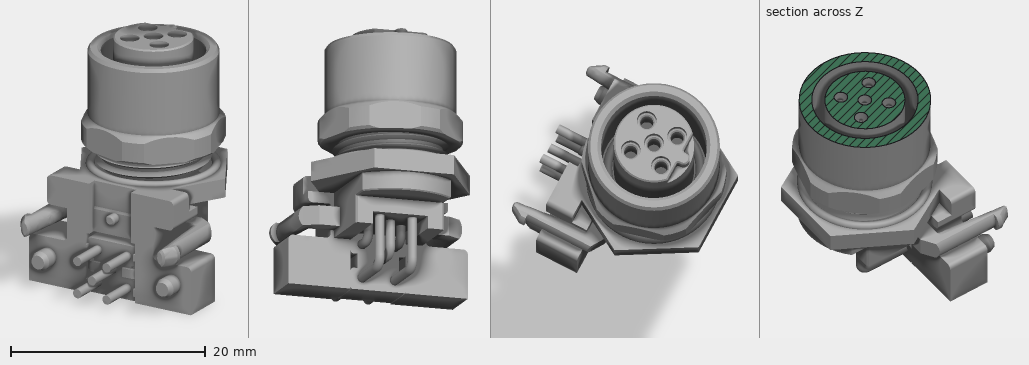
import cadquery as cq
import math


THREAD_PITCH = 1.0

FLANGE_BOTTOM = 9.98
FLANGE_TOP = 12.05
NUT_BOTTOM = 14.55
NUT_CONE_BOTTOM = 16.93
NUT_CONE_TOP = 17.63
SLEEVE_TOP = 24.85
CORE_TOP = 26
BORE_FLOOR = 15.6

SLEEVE_RADIUS = 6.79
SLEEVE_CHAMFER_WIDTH = 0.25
SLEEVE_CHAMFER_HEIGHT = 0.36
NUT_CORNER_RADIUS = 7.45
NUT_FLAT_DISTANCE = 6.97
NUT_TURN = 45
NUT_LOWER_CHAMFER = 0.29
BORE_RADIUS = 5.43
MOUTH_CHAMFER = 0.36

THREAD_ROOT_RADIUS = 5.4
THREAD_CREST_RADIUS = 6.0
THREAD_TURNS = 3
THREAD_START = 11.93
RING_SECTION_RADIUS = 0.47
OUTER_RING_RADIUS = 6.5
INNER_RING_RADIUS = 4.75
INNER_RING_LIFT = 0.25

CORE_RADIUS = 4.13
CORE_CHAMFER = 0.15
CORE_FLAT_Y = 3.05
CORE_FLAT_DEPTH = 1.3
KEY_HALF_WIDTH = 0.62
KEY_TIP_Y = 4.08
KEY_FILLET = 0.23
CONTACT_OFFSET = 1.77
CONTACT_POSITIONS = [(0, 0)] + [
    (x, y) for x in (-CONTACT_OFFSET, CONTACT_OFFSET) for y in (-CONTACT_OFFSET, CONTACT_OFFSET)
]
SOCKET_RADIUS = 1.01
SOCKET_DEPTH = 0.65
SOCKET_SEAT_RADIUS = 0.83
SOCKET_HOLE_RADIUS = 0.68
SOCKET_HOLE_DEPTH = 3.12

FLANGE_FLAT_DISTANCE = 7.5
FLANGE_FRONT_Y = -5.49
BODY_HALF_WIDTH = 4.8
BODY_RADIUS = 7.02
BODY_ROUND_BOTTOM = 8.05
BODY_BOTTOM = 5.23
BODY_BACK_Y = 3.12
BODY_CHAMFER = 0.2
BODY_RIM_CHAMFER = 0.13

HOUSING_BACK_Y = -3.8
HOUSING_FRONT_Y = -8.53
HOUSING_FILLET = 0.5
FOOT_HALF_WIDTH = 9.75
FOOT_TOP = 5.2
NECK_HALF_WIDTH = 5.17
ARM_HALF_WIDTH = 7.62
ARM_BOTTOM = 8.81

RECESS_HALF_WIDTH = 2.52
RECESS_UPPER_Y = -7.5
RECESS_LOWER_Y = -7.62
RECESS_STEP_TOP = 9.25
RECESS_STEP_BOTTOM = 9.0
STUB_RADIUS = 0.55
STUB_Z = 8.48
STUB_TIP_Y = -8.63
STUB_CHAMFER = 0.15

SLOT_HALF_WIDTH = 3.0
SLOT_TOP = 6.53
HOLDER_TOP = 5.95
HOLDER_FRONT_Y = -8.05
HOLDER_CHAMFER = 0.15
TOOTH_WIDTH = 0.2
TOOTH_SPANS = ((0.68, 1.5), (4.55, 5.3))
NOTCH_INNER_X = 2.24
NOTCH_HALF_HEIGHT = 0.75
NOTCH_FILLET = 0.35
LATCH_INNER_X = 1.35
LATCH_HALF_HEIGHT = 0.5
LATCH_FRONT_Y = -8.4

PIN_RADIUS = 0.5
PIN_BEND_RADIUS = 0.95
PIN_ROW_Z = 3.02
PIN_TIP_Y = -12.12
PIN_ROOT_Z = 7.02

PEG_X = 7.5
PEG_RADIUS = 1.01
PEG_TIP_Y = -10.53
PEG_CHAMFER_LENGTH = 0.6
PEG_CHAMFER_WIDTH = 0.25

SNAP_Z = 7.05
SNAP_HALF_HEIGHT = 1.01
SNAP_EDGE_X = 8.5
SNAP_OUTER_X = 8.9
SNAP_INNER_BULGE = 0.94
SNAP_ROOT_X = 7.62
SNAP_TIP_X = 8.58
SNAP_WEB_BACK_Y = -1.95
SNAP_WEB_FRONT_Y = -3.9
SNAP_WEB_CORNER_X = 7.05
SNAP_ROD_START_Y = -2.85
SNAP_CORNER_DROP = 0.23
SNAP_ROOT_FILLET = 0.4
BARB_BACK_Y = -10.17
BARB_CORNER_Y = -10.69
BARB_TIP_Y = -12.05
BARB_OUTER_X = 9.46
BARB_TIP_OUTER_X = 8.6
BARB_BULGE = 0.52
BARB_TIP_CHAMFER = 0.18


def block(x_range, y_range, z_range):
    """Axis-aligned box from its limits."""
    sizes = [high - low for low, high in (x_range, y_range, z_range)]
    corner = (x_range[0], y_range[0], z_range[0])
    return cq.Workplane("XY").box(*sizes, centered=False).translate(corner)


def both_sides(shape):
    """The shape together with its mirror image across the YZ plane."""
    return shape.union(shape.mirror("YZ"))


def disc_along_y(x, z, radius, y_start, y_end):
    """Cylinder running toward -Y from y_start to y_end."""
    return cq.Workplane("XZ", origin=(x, y_start, z)).circle(radius).extrude(y_start - y_end)


def hexagon(flat_distance, z_bottom, z_top):
    """Hexagonal prism with two corners on the X axis."""
    corner_diameter = 2 * flat_distance / math.cos(math.pi / 6)
    base = cq.Workplane("XY", origin=(0, 0, z_bottom))
    return base.polygon(6, corner_diameter).extrude(z_top - z_bottom)


def ring(radius, z):
    """Sealing ring of round section about the connector axis."""
    section = cq.Workplane("XZ").center(radius, z).circle(RING_SECTION_RADIUS)
    return section.revolve(360, (-radius, 0, 0), (-radius, 1, 0))


def sleeve_nut():
    """Round sleeve on a hexagon with turned corners, bored from the top."""
    envelope = (
        cq.Workplane("XZ")
        .moveTo(0, NUT_BOTTOM)
        .lineTo(NUT_CORNER_RADIUS - NUT_LOWER_CHAMFER, NUT_BOTTOM)
        .lineTo(NUT_CORNER_RADIUS, NUT_BOTTOM + NUT_LOWER_CHAMFER)
        .lineTo(NUT_CORNER_RADIUS, NUT_CONE_BOTTOM)
        .lineTo(SLEEVE_RADIUS, NUT_CONE_TOP)
        .lineTo(0, NUT_CONE_TOP)
        .close()
        .revolve(360, (0, 0, 0), (0, 1, 0))
    )
    prism = hexagon(NUT_FLAT_DISTANCE, NUT_BOTTOM, NUT_CONE_TOP).rotate((0, 0, 0), (0, 0, 1), NUT_TURN)
    sleeve = (
        cq.Workplane("XY", origin=(0, 0, NUT_BOTTOM + NUT_LOWER_CHAMFER))
        .circle(SLEEVE_RADIUS)
        .extrude(SLEEVE_TOP - NUT_BOTTOM - NUT_LOWER_CHAMFER)
        .faces(">Z")
        .chamfer(SLEEVE_CHAMFER_HEIGHT, SLEEVE_CHAMFER_WIDTH)
    )
    bore = (
        cq.Workplane("XZ")
        .moveTo(0, BORE_FLOOR)
        .lineTo(BORE_RADIUS, BORE_FLOOR)
        .lineTo(BORE_RADIUS, SLEEVE_TOP - MOUTH_CHAMFER)
        .lineTo(BORE_RADIUS + MOUTH_CHAMFER, SLEEVE_TOP)
        .lineTo(0, SLEEVE_TOP)
        .close()
        .revolve(360, (0, 0, 0), (0, 1, 0))
    )
    return prism.intersect(envelope).union(sleeve).cut(bore)


def thread():
    """Threaded neck between flange and nut; both thread ends are buried in them."""
    neck = cq.Workplane("XY", origin=(0, 0, FLANGE_BOTTOM)).circle(THREAD_ROOT_RADIUS)
    neck = neck.extrude(NUT_BOTTOM + NUT_LOWER_CHAMFER - FLANGE_BOTTOM)
    sink = 0.08
    depth = THREAD_CREST_RADIUS - THREAD_ROOT_RADIUS + sink
    half_width = depth * math.tan(math.pi / 6)
    helix = cq.Wire.makeHelix(THREAD_PITCH, THREAD_PITCH * THREAD_TURNS, THREAD_ROOT_RADIUS)
    ridge = (
        cq.Workplane("XZ")
        .moveTo(THREAD_ROOT_RADIUS - sink, -half_width)
        .lineTo(THREAD_CREST_RADIUS, 0)
        .lineTo(THREAD_ROOT_RADIUS - sink, half_width)
        .close()
        .sweep(cq.Workplane(helix), isFrenet=True)
        .translate((0, 0, THREAD_START))
    )
    return neck.union(ridge)


def contact_core():
    """Round core with a flat at its top, a coding key on the flat, and five sockets."""
    flat_bottom = CORE_TOP - CORE_FLAT_DEPTH
    reach = 2 * CORE_RADIUS
    key_round_y = KEY_TIP_Y - KEY_HALF_WIDTH
    outline = (
        cq.Workplane("XY", origin=(0, 0, flat_bottom))
        .moveTo(-reach, -reach)
        .lineTo(reach, -reach)
        .lineTo(reach, CORE_FLAT_Y)
        .lineTo(KEY_HALF_WIDTH, CORE_FLAT_Y)
        .lineTo(KEY_HALF_WIDTH, key_round_y)
        .threePointArc((0, KEY_TIP_Y), (-KEY_HALF_WIDTH, key_round_y))
        .lineTo(-KEY_HALF_WIDTH, CORE_FLAT_Y)
        .lineTo(-reach, CORE_FLAT_Y)
        .close()
        .extrude(CORE_FLAT_DEPTH)
    )
    key_roots = cq.selectors.BoxSelector(
        (-KEY_HALF_WIDTH - 0.03, CORE_FLAT_Y - 0.03, flat_bottom),
        (KEY_HALF_WIDTH + 0.03, CORE_FLAT_Y + 0.03, CORE_TOP),
    )
    outline = outline.edges(key_roots).fillet(KEY_FILLET)
    base = cq.Workplane("XY", origin=(0, 0, BORE_FLOOR)).circle(CORE_RADIUS)
    base = base.extrude(flat_bottom - BORE_FLOOR)
    crown = cq.Workplane("XY", origin=(0, 0, flat_bottom)).circle(CORE_RADIUS).extrude(CORE_FLAT_DEPTH)
    crown = crown.intersect(outline).faces(">Z").chamfer(CORE_CHAMFER)
    core = base.union(crown)

    seat = CORE_TOP - SOCKET_DEPTH
    cone_bottom = seat - (SOCKET_SEAT_RADIUS - SOCKET_HOLE_RADIUS)
    socket = (
        cq.Workplane("XZ")
        .moveTo(0, CORE_TOP)
        .lineTo(SOCKET_RADIUS, CORE_TOP)
        .lineTo(SOCKET_RADIUS, seat)
        .lineTo(SOCKET_SEAT_RADIUS, seat)
        .lineTo(SOCKET_HOLE_RADIUS, cone_bottom)
        .lineTo(SOCKET_HOLE_RADIUS, CORE_TOP - SOCKET_HOLE_DEPTH)
        .lineTo(0, CORE_TOP - SOCKET_HOLE_DEPTH)
        .close()
        .revolve(360, (0, 0, 0), (0, 1, 0))
    )
    for x, y in CONTACT_POSITIONS:
        core = core.cut(socket.translate((x, y, 0)))
    return core


def flange():
    """Hexagonal flange, cut straight at the front where the housing begins."""
    plate = hexagon(FLANGE_FLAT_DISTANCE, FLANGE_BOTTOM, FLANGE_TOP)
    keep = block(
        (-2 * FLANGE_FLAT_DISTANCE, 2 * FLANGE_FLAT_DISTANCE),
        (FLANGE_FRONT_Y, FLANGE_FLAT_DISTANCE),
        (FLANGE_BOTTOM, FLANGE_TOP),
    )
    return plate.intersect(keep)


def body():
    """Flat-sided body under the flange, stepped in at the back."""
    width = (-BODY_HALF_WIDTH, BODY_HALF_WIDTH)
    upper = (
        cq.Workplane("XY", origin=(0, 0, BODY_ROUND_BOTTOM))
        .circle(BODY_RADIUS)
        .extrude(FLANGE_BOTTOM - BODY_ROUND_BOTTOM)
        .intersect(block(width, (HOUSING_BACK_Y, BODY_RADIUS), (BODY_ROUND_BOTTOM, FLANGE_BOTTOM)))
    )
    upper = upper.faces("<Z").chamfer(BODY_RIM_CHAMFER)
    lower = block(width, (HOUSING_BACK_Y, BODY_BACK_Y), (BODY_BOTTOM, FLANGE_BOTTOM))
    return upper.union(lower.edges("|Z and >Y").chamfer(BODY_CHAMFER))


def housing():
    """H-shaped front housing: foot, neck and arms, with recess and pin slot."""
    depth = (HOUSING_FRONT_Y, HOUSING_BACK_Y)
    foot = block((-FOOT_HALF_WIDTH, FOOT_HALF_WIDTH), depth, (0, FOOT_TOP))
    foot = foot.edges("|Y and >Z").fillet(HOUSING_FILLET)
    neck = block((-NECK_HALF_WIDTH, NECK_HALF_WIDTH), depth, (0, FLANGE_TOP))
    arms = block((-ARM_HALF_WIDTH, ARM_HALF_WIDTH), depth, (ARM_BOTTOM, FLANGE_TOP))
    arms = arms.edges("|Y").fillet(HOUSING_FILLET)
    neck_roots = cq.selectors.BoxSelector(
        (-NECK_HALF_WIDTH - 0.03, HOUSING_FRONT_Y, FOOT_TOP - 0.03),
        (NECK_HALF_WIDTH + 0.03, HOUSING_BACK_Y, FOOT_TOP + 0.03),
    )
    shape = foot.union(neck).edges(neck_roots).fillet(HOUSING_FILLET).union(arms)
    flange_seat = block(
        (-ARM_HALF_WIDTH, ARM_HALF_WIDTH), (FLANGE_FRONT_Y, HOUSING_BACK_Y), (FLANGE_BOTTOM, FLANGE_TOP)
    )
    recess = (
        cq.Workplane("YZ", origin=(-RECESS_HALF_WIDTH, 0, 0))
        .moveTo(HOUSING_FRONT_Y, FLANGE_TOP)
        .lineTo(RECESS_UPPER_Y, FLANGE_TOP)
        .lineTo(RECESS_UPPER_Y, RECESS_STEP_TOP)
        .lineTo(RECESS_LOWER_Y, RECESS_STEP_BOTTOM)
        .lineTo(RECESS_LOWER_Y, SLOT_TOP)
        .lineTo(HOUSING_FRONT_Y, SLOT_TOP)
        .close()
        .extrude(2 * RECESS_HALF_WIDTH)
    )
    stub = disc_along_y(0, STUB_Z, STUB_RADIUS, RECESS_UPPER_Y, STUB_TIP_Y)
    stub = stub.faces("<Y").chamfer(STUB_CHAMFER)
    return shape.cut(flange_seat).cut(recess).union(stub)


def pin_slot():
    """Opening for the pins through housing and body."""
    return block((-SLOT_HALF_WIDTH, SLOT_HALF_WIDTH), (HOUSING_FRONT_Y, BODY_BACK_Y), (0, SLOT_TOP))


def pin_holder():
    """Block closing the slot, notched at both sides, with teeth and latches."""
    holder = block(
        (-SLOT_HALF_WIDTH, SLOT_HALF_WIDTH), (HOLDER_FRONT_Y, HOUSING_BACK_Y), (0, HOLDER_TOP)
    )
    holder = holder.edges("|Y").chamfer(HOLDER_CHAMFER)
    notch = block(
        (NOTCH_INNER_X, SLOT_HALF_WIDTH),
        (HOLDER_FRONT_Y, HOUSING_BACK_Y),
        (PIN_ROW_Z - NOTCH_HALF_HEIGHT, PIN_ROW_Z + NOTCH_HALF_HEIGHT),
    )
    holder = holder.cut(both_sides(notch))
    notch_mouths = cq.selectors.BoxSelector(
        (-SLOT_HALF_WIDTH - 0.03, HOLDER_FRONT_Y, PIN_ROW_Z - NOTCH_HALF_HEIGHT - 0.03),
        (SLOT_HALF_WIDTH + 0.03, HOUSING_BACK_Y, PIN_ROW_Z + NOTCH_HALF_HEIGHT + 0.03),
    )
    holder = holder.edges("|Y").edges(notch_mouths).edges("<X or >X").fillet(NOTCH_FILLET)

    tooth_x = (SLOT_HALF_WIDTH - TOOTH_WIDTH, SLOT_HALF_WIDTH)
    for span in TOOTH_SPANS:
        holder = holder.union(both_sides(block(tooth_x, (HOUSING_FRONT_Y, HOUSING_BACK_Y), span)))

    bend = SLOT_HALF_WIDTH - NOTCH_INNER_X
    bend_end_y = LATCH_FRONT_Y + bend
    latch = (
        cq.Workplane("XY", origin=(0, 0, PIN_ROW_Z - LATCH_HALF_HEIGHT))
        .moveTo(LATCH_INNER_X, LATCH_FRONT_Y)
        .lineTo(NOTCH_INNER_X, LATCH_FRONT_Y)
        .threePointArc(
            (NOTCH_INNER_X + bend * math.sqrt(0.5), bend_end_y - bend * math.sqrt(0.5)),
            (SLOT_HALF_WIDTH, bend_end_y),
        )
        .lineTo(SLOT_HALF_WIDTH, bend_end_y + bend)
        .lineTo(LATCH_INNER_X, bend_end_y + bend)
        .close()
        .extrude(2 * LATCH_HALF_HEIGHT)
    )
    return holder.union(both_sides(latch))


def contact_pin(x, y):
    """Round pin that drops from its contact, bends forward and runs to the board."""
    run_z = PIN_ROW_Z - y
    bend_z = run_z + PIN_BEND_RADIUS
    bend_y = y - PIN_BEND_RADIUS
    arc_inset = PIN_BEND_RADIUS * (1 - math.sqrt(0.5))
    path = (
        cq.Workplane("YZ", origin=(x, 0, 0))
        .moveTo(y, PIN_ROOT_Z)
        .lineTo(y, bend_z)
        .threePointArc((y - arc_inset, run_z + arc_inset), (bend_y, run_z))
        .lineTo(PIN_TIP_Y, run_z)
    )
    return cq.Workplane("XY", origin=(x, y, PIN_ROOT_Z)).circle(PIN_RADIUS).sweep(path)


def peg():
    """Locating peg on the foot, with a tapered tip."""
    shaft = disc_along_y(PEG_X, PIN_ROW_Z, PEG_RADIUS, HOUSING_BACK_Y, PEG_TIP_Y)
    return shaft.faces("<Y").chamfer(PEG_CHAMFER_LENGTH, PEG_CHAMFER_WIDTH)


def snap_section(y, edge_x, outer_x, flat_x):
    """Closed wire at y: an arc from edge_x bulging to outer_x, closed by a flat at flat_x."""
    low = SNAP_Z - SNAP_HALF_HEIGHT
    high = SNAP_Z + SNAP_HALF_HEIGHT
    section = (
        cq.Workplane("XZ", origin=(0, y, 0))
        .moveTo(flat_x, low)
        .lineTo(edge_x, low)
        .threePointArc((outer_x, SNAP_Z), (edge_x, high))
        .lineTo(flat_x, high)
        .close()
    )
    return section.val()


def snap_loft(*sections):
    """Straight-sided solid through snap sections."""
    return cq.Workplane(cq.Solid.makeLoft([snap_section(*section) for section in sections], True))


def snap_root_flare():
    """Concave flare that blends the inner side of the rod into the front of the web."""
    lean = (SNAP_TIP_X - SNAP_ROOT_X) / (BARB_TIP_Y - SNAP_ROD_START_Y)
    sections = []
    for angle in (0, math.pi / 4, math.pi / 2):
        y = SNAP_WEB_FRONT_Y - SNAP_ROOT_FILLET * (1 - math.cos(angle))
        spread = SNAP_ROOT_FILLET * (1 - math.sin(angle))
        edge_x = SNAP_ROOT_X + lean * (y - SNAP_ROD_START_Y) - spread
        sections.append(snap_section(y, edge_x, edge_x - SNAP_INNER_BULGE, SNAP_EDGE_X))
    return cq.Workplane(cq.Solid.makeLoft(sections, False))


def snap_arm():
    """Web from the body, rod running forward, and a barbed tip."""
    web = (
        cq.Workplane("XY", origin=(0, 0, SNAP_Z - SNAP_HALF_HEIGHT))
        .moveTo(SNAP_EDGE_X, SNAP_WEB_FRONT_Y)
        .lineTo(SNAP_EDGE_X, SNAP_ROD_START_Y)
        .lineTo(SNAP_WEB_CORNER_X, SNAP_WEB_BACK_Y)
        .lineTo(SLOT_HALF_WIDTH, SNAP_WEB_BACK_Y)
        .lineTo(SLOT_HALF_WIDTH, SNAP_WEB_FRONT_Y)
        .close()
        .extrude(2 * SNAP_HALF_HEIGHT)
    )
    rod = snap_loft(
        (SNAP_ROD_START_Y, SNAP_EDGE_X, SNAP_OUTER_X, SLOT_HALF_WIDTH),
        (BARB_BACK_Y, SNAP_EDGE_X, SNAP_OUTER_X, SLOT_HALF_WIDTH),
    )
    barb_root = snap_loft(
        (BARB_BACK_Y, BARB_OUTER_X - BARB_BULGE, BARB_OUTER_X, SLOT_HALF_WIDTH),
        (BARB_CORNER_Y, BARB_OUTER_X - BARB_BULGE, BARB_OUTER_X, SLOT_HALF_WIDTH),
    )
    barb_slope = snap_loft(
        (BARB_CORNER_Y, BARB_OUTER_X - BARB_BULGE, BARB_OUTER_X, SLOT_HALF_WIDTH),
        (BARB_TIP_Y, BARB_TIP_OUTER_X - BARB_BULGE, BARB_TIP_OUTER_X, SLOT_HALF_WIDTH),
    )
    inner_side = snap_loft(
        (SNAP_ROD_START_Y, SNAP_ROOT_X, SNAP_ROOT_X - SNAP_INNER_BULGE, FOOT_HALF_WIDTH),
        (BARB_TIP_Y, SNAP_TIP_X, SNAP_TIP_X - SNAP_INNER_BULGE, FOOT_HALF_WIDTH),
    )
    arm = rod.union(barb_root).union(barb_slope).intersect(inner_side)
    arm = arm.faces("<Y").chamfer(BARB_TIP_CHAMFER)
    corner_cut = (
        cq.Workplane("XY", origin=(0, 0, SNAP_Z - SNAP_HALF_HEIGHT))
        .moveTo(SNAP_EDGE_X, SNAP_ROD_START_Y)
        .lineTo(SNAP_OUTER_X, SNAP_ROD_START_Y - SNAP_CORNER_DROP)
        .lineTo(SNAP_OUTER_X, SNAP_ROD_START_Y)
        .close()
        .extrude(2 * SNAP_HALF_HEIGHT)
    )
    return web.union(arm).union(snap_root_flare()).cut(corner_cut)


result = body().union(housing()).union(both_sides(snap_arm())).cut(pin_slot()).union(pin_holder())
result = result.union(both_sides(peg()))
for pin_x, pin_y in CONTACT_POSITIONS:
    result = result.union(contact_pin(pin_x, pin_y))
result = result.union(flange()).union(ring(OUTER_RING_RADIUS, FLANGE_TOP))
result = result.union(thread()).union(sleeve_nut()).union(contact_core())
result = result.union(ring(INNER_RING_RADIUS, BORE_FLOOR + INNER_RING_LIFT))